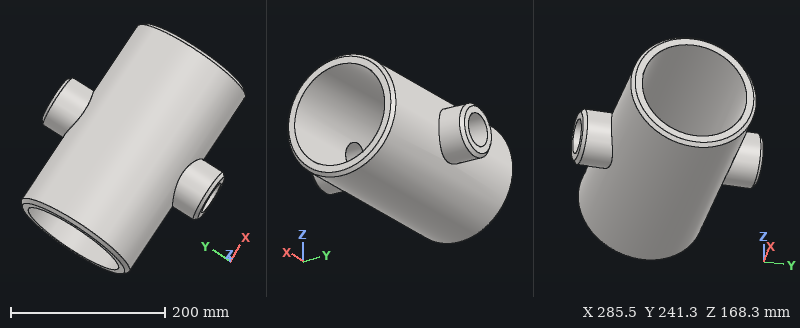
import cadquery as cq

run_length = 285.5
run_diameter = 168.28
run_wall = 14.27
run_bore = run_diameter - 2 * run_wall

branch_span = 241.3
branch_diameter = 73.03
branch_wall = 14.02
branch_bore = branch_diameter - 2 * branch_wall

end_bevel = 4.76


def round_bar(plane, diameter, length):
    """Solid round bar normal to the plane and centred on the origin."""
    return cq.Workplane(plane).circle(diameter / 2).extrude(length / 2, both=True)


def bevelled_bar(plane, diameter, length):
    """Round bar with the rims of both ends bevelled."""
    return round_bar(plane, diameter, length).faces("%PLANE").edges().chamfer(end_bevel)


run = bevelled_bar("YZ", run_diameter, run_length)
branches = bevelled_bar("XZ", branch_diameter, branch_span)

result = (
    run.union(branches)
    .cut(round_bar("YZ", run_bore, run_length))
    .cut(round_bar("XZ", branch_bore, branch_span))
)